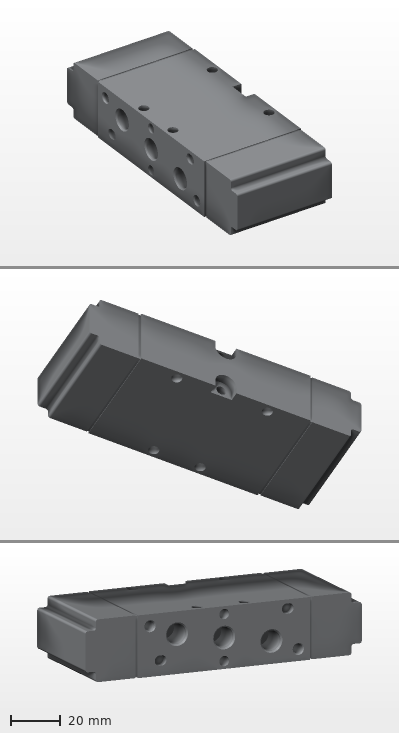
import cadquery as cq
import math

total_length = 123.0
body_depth = 47.0
height = 26.0

body_length = 76.6

cap_gap = 1.0
cap_depth = 46.0
nose_length = 4.6
nose_height = 17.0
cap_fillet = 1.0

spacer_inset = 0.3

mounting_hole_diameter = 4.5
rear_hole_x = 20.5
rear_hole_y = 20.0
front_hole_x = 10.5
front_hole_y = -20.0

bolt_hole_diameter = 4.3
bolt_z = 9.75
head_recess_width = 9.5
head_recess_depth = 4.2

port_diameter = 8.57
port_mouth_diameter = 9.8
port_depth = 12.0
port_centres = [(-21.0, 3.5), (0.0, 0.0), (21.0, -3.5)]

pilot_diameter = 4.13
pilot_mouth_diameter = 5.0
pilot_depth = 8.0
pilot_tip_angle = 118.0
pilot_centres = [(-33.0, 8.0), (33.0, -8.0)]

socket_length = 5.2
socket_width = 4.3
socket_depth = 3.0
socket_centres = [(-28.3, -6.7), (28.3, 9.2)]

front_y = -body_depth / 2
rear_y = body_depth / 2
cap_inner_x = body_length / 2 + cap_gap
cap_outer_x = total_length / 2


def front_plane(x, z):
    """Workplane on the port face; its normal points into the body."""
    return cq.Workplane(cq.Plane(origin=(x, front_y, z), xDir=(1, 0, 0), normal=(0, 1, 0)))


def end_cap():
    """Right-hand cap: a block with a stepped nose, rounded along Y."""
    shoulder_x = cap_outer_x - nose_length
    half_height = height / 2
    half_nose = nose_height / 2
    cap = (
        cq.Workplane("XZ")
        .moveTo(cap_inner_x, -half_height)
        .lineTo(shoulder_x, -half_height)
        .lineTo(shoulder_x, -half_nose)
        .lineTo(cap_outer_x, -half_nose)
        .lineTo(cap_outer_x, half_nose)
        .lineTo(shoulder_x, half_nose)
        .lineTo(shoulder_x, half_height)
        .lineTo(cap_inner_x, half_height)
        .close()
        .extrude(cap_depth / 2, both=True)
    )
    outer_edges = cq.selectors.BoxSelector(
        (shoulder_x - cap_fillet, -body_depth, -height),
        (cap_outer_x + cap_fillet, body_depth, height),
    )
    return cap.edges("|Y").edges(outer_edges).fillet(cap_fillet)


def spacers():
    """One inset block through the body that bridges both cap gaps."""
    return cq.Workplane("XY").box(
        2 * cap_inner_x, cap_depth - 2 * spacer_inset, height - 2 * spacer_inset
    )


def mounting_holes():
    centres = []
    for side in (-1, 1):
        centres.append((side * rear_hole_x, rear_hole_y))
        centres.append((side * front_hole_x, front_hole_y))
    return (
        cq.Workplane("XY")
        .pushPoints(centres)
        .circle(mounting_hole_diameter / 2)
        .extrude(height, both=True)
    )


def bolt_hole(side):
    """Through hole along Y plus a round-bottomed recess open to the outer Z face."""
    hole = front_plane(0, side * bolt_z).circle(bolt_hole_diameter / 2).extrude(body_depth)
    recess_y = rear_y - head_recess_depth
    recess_plane = cq.Plane(origin=(0, recess_y, side * bolt_z), xDir=(1, 0, 0), normal=(0, 1, 0))
    round_seat = cq.Workplane(recess_plane).circle(head_recess_width / 2).extrude(head_recess_depth)
    opening_height = height / 2 - bolt_z
    opening = cq.Workplane("XY").box(head_recess_width, head_recess_depth, opening_height)
    opening = opening.translate(
        (0, rear_y - head_recess_depth / 2, side * (bolt_z + opening_height / 2))
    )
    return hole.union(round_seat).union(opening)


def round_port(x, z, bore_diameter, mouth_diameter, depth, tip_depth=0.0):
    """Bore with a 45 degree countersunk mouth and an optional conical tip."""
    bore_radius = bore_diameter / 2
    mouth_radius = mouth_diameter / 2
    profile = (
        cq.Workplane("XY")
        .moveTo(0, front_y)
        .lineTo(mouth_radius, front_y)
        .lineTo(bore_radius, front_y + mouth_radius - bore_radius)
        .lineTo(bore_radius, front_y + depth)
        .lineTo(0, front_y + depth + tip_depth)
        .close()
    )
    return profile.revolve(360, (0, 0, 0), (0, 1, 0)).translate((x, 0, z))


def socket(x, z):
    return front_plane(x, z).slot2D(socket_length, socket_width).extrude(socket_depth)


right_cap = end_cap()
left_cap = right_cap.mirror("YZ")

result = cq.Workplane("XY").box(body_length, body_depth, height)
result = result.union(spacers()).union(right_cap).union(left_cap)
result = result.cut(mounting_holes())
for side in (-1, 1):
    result = result.cut(bolt_hole(side))
for x, z in port_centres:
    result = result.cut(round_port(x, z, port_diameter, port_mouth_diameter, port_depth))
pilot_tip_depth = pilot_diameter / 2 / math.tan(math.radians(pilot_tip_angle / 2))
for x, z in pilot_centres:
    result = result.cut(
        round_port(x, z, pilot_diameter, pilot_mouth_diameter, pilot_depth, pilot_tip_depth)
    )
for x, z in socket_centres:
    result = result.cut(socket(x, z))